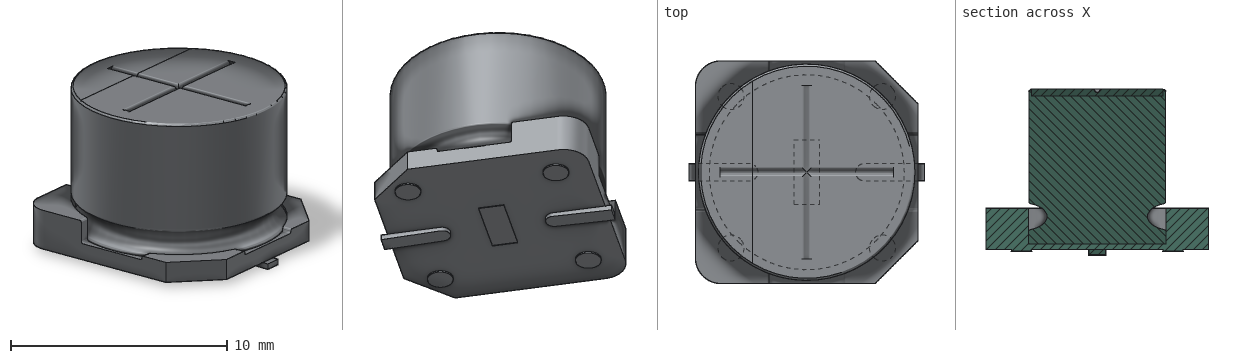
import cadquery as cq
import math

TOTAL_LENGTH = 10.9
TOTAL_HEIGHT = 7.7
BASE_BOTTOM = 0.27

BASE_WIDTH = 10.3
CORNER_RADIUS = 1.2
CORNER_CHAMFER = 2.0
HIGH_CORNER_TOP = 2.19
LOW_CORNER_TOP = 1.26
CORNER_TOPS = (LOW_CORNER_TOP, LOW_CORNER_TOP, HIGH_CORNER_TOP, HIGH_CORNER_TOP)
NOTCH_FLOOR = 1.07
NOTCH_HALF_WIDTH = 1.75
NOTCH_FILLET = (LOW_CORNER_TOP - NOTCH_FLOOR) / 2
CAN_SEAT = 0.55

FOOT_DIAMETER = 1.2
FOOT_HEIGHT = 0.08
FOOT_OFFSET = 3.5
STRIP_WIDTH = FOOT_DIAMETER
STRIP_LENGTH = 3.0
STRIP_HEIGHT = FOOT_HEIGHT / 2

CAN_DIAMETER = 10.0
CAN_RADIUS = CAN_DIAMETER / 2
TOP_FILLET = 0.1
BELT_HEIGHT = 1.8
BELT_RADIUS = 0.61
BELT_DEPTH = 0.49
BELT_FILLET = 0.12

CROSS_LENGTH = 0.8 * CAN_DIAMETER
CROSS_DEPTH = 0.15
CROSS_FLOOR_HALF_WIDTH = 0.071
CROSS_WALL_ANGLE = 60.0
CROSS_FILLET = 0.09

MARK_THICKNESS = 0.3
MARK_RADIUS = CAN_RADIUS - TOP_FILLET
MARK_EDGE = -CAN_RADIUS / 2

LEAD_WIDTH = 0.8
LEAD_LENGTH = 3.19
LEAD_TAPER = 0.08


def circle_point(center, radius, degrees):
    """Point at the given angle on a circle."""
    angle = math.radians(degrees)
    return (center[0] + radius * math.cos(angle), center[1] + radius * math.sin(angle))


def press_cross(body):
    """Press two crossing slots, with rounded lips and floors, into the top of the can."""
    floor = TOTAL_HEIGHT - CROSS_DEPTH
    wall_run = CROSS_DEPTH / math.tan(math.radians(CROSS_WALL_ANGLE))
    mouth_half_width = CROSS_FLOOR_HALF_WIDTH + wall_run
    slot = (
        cq.Workplane("YZ", origin=(-CROSS_LENGTH / 2, 0, 0))
        .moveTo(-CROSS_FLOOR_HALF_WIDTH, floor)
        .lineTo(CROSS_FLOOR_HALF_WIDTH, floor)
        .lineTo(mouth_half_width, TOTAL_HEIGHT)
        .lineTo(-mouth_half_width, TOTAL_HEIGHT)
        .close()
        .extrude(CROSS_LENGTH)
    )
    slots = slot.union(slot.rotate((0, 0, 0), (0, 0, 1), 90))
    body = body.cut(slots)
    for level in (floor, TOTAL_HEIGHT):
        at_level = cq.selectors.BoxSelector(
            (-CROSS_LENGTH, -CROSS_LENGTH, level - CROSS_FILLET / 2),
            (CROSS_LENGTH, CROSS_LENGTH, level + CROSS_FILLET / 2),
        )
        straight = body.edges(at_level).edges("|X or |Y")
        long_edges = straight.filter(lambda edge: edge.Length() > 2 * mouth_half_width)
        body = long_edges.fillet(CROSS_FILLET)
    return body


def mark_space():
    """Segment of a disc, flush with the top of the can, that the mark is made from."""
    blank = cq.Workplane("XY", origin=(0, 0, TOTAL_HEIGHT - MARK_THICKNESS))
    disc = blank.circle(MARK_RADIUS).extrude(MARK_THICKNESS)
    mark_side = blank.center(MARK_EDGE - CAN_RADIUS, 0).rect(CAN_DIAMETER, CAN_DIAMETER).extrude(MARK_THICKNESS)
    return disc.intersect(mark_side)


def turned_and_pressed_can():
    """Turned can with a filleted top, a round belt groove near its foot and the cross."""
    belt_center = (CAN_RADIUS - BELT_DEPTH + BELT_RADIUS, BELT_HEIGHT)
    fillet_x = CAN_RADIUS - BELT_FILLET
    center_run = belt_center[0] - fillet_x
    fillet_rise = math.sqrt((BELT_RADIUS + BELT_FILLET) ** 2 - center_run**2)
    lip_angle = math.degrees(math.atan2(fillet_rise, center_run))
    lower_fillet = (fillet_x, BELT_HEIGHT - fillet_rise)
    upper_fillet = (fillet_x, BELT_HEIGHT + fillet_rise)
    top_fillet = (CAN_RADIUS - TOP_FILLET, TOTAL_HEIGHT - TOP_FILLET)
    turned = (
        cq.Workplane("XZ")
        .moveTo(0, CAN_SEAT)
        .lineTo(CAN_RADIUS, CAN_SEAT)
        .lineTo(CAN_RADIUS, lower_fillet[1])
        .threePointArc(
            circle_point(lower_fillet, BELT_FILLET, lip_angle / 2),
            circle_point(lower_fillet, BELT_FILLET, lip_angle),
        )
        .threePointArc(
            circle_point(belt_center, BELT_RADIUS, 180),
            circle_point(belt_center, BELT_RADIUS, 180 - lip_angle),
        )
        .threePointArc(
            circle_point(upper_fillet, BELT_FILLET, -lip_angle / 2),
            (CAN_RADIUS, upper_fillet[1]),
        )
        .lineTo(CAN_RADIUS, top_fillet[1])
        .threePointArc(circle_point(top_fillet, TOP_FILLET, 45), (top_fillet[0], TOTAL_HEIGHT))
        .lineTo(0, TOTAL_HEIGHT)
        .close()
        .revolve(360, (0, 0, 0), (0, 1, 0))
    )
    return press_cross(turned)


def half_notch(corner_top):
    """Half of the notch in the -Y side of the base, on +X, beside a corner of the given height."""
    r = NOTCH_FILLET
    wall = NOTCH_HALF_WIDTH
    floor_center = (wall - r, NOTCH_FLOOR + r)
    lip_center = (wall + r, corner_top - r)
    profile = (
        cq.Workplane("XZ")
        .moveTo(0, NOTCH_FLOOR)
        .lineTo(wall - r, NOTCH_FLOOR)
        .threePointArc(circle_point(floor_center, r, -45), (wall, NOTCH_FLOOR + r))
    )
    if corner_top > LOW_CORNER_TOP:
        profile = profile.lineTo(wall, corner_top - r)
    profile = (
        profile.threePointArc(circle_point(lip_center, r, 135), (wall + r, corner_top))
        .lineTo(wall + r, TOTAL_HEIGHT)
        .lineTo(0, TOTAL_HEIGHT)
        .close()
    )
    return profile.extrude(BASE_WIDTH)


def make_base():
    """Square base with two low corners, a round pocket, four notches and pads underneath."""
    half = BASE_WIDTH / 2
    base = cq.Workplane("XY", origin=(0, 0, BASE_BOTTOM)).rect(BASE_WIDTH, BASE_WIDTH)
    base = base.extrude(HIGH_CORNER_TOP - BASE_BOTTOM)
    base = base.edges("|Z and <X").fillet(CORNER_RADIUS)
    base = base.edges("|Z and >X").chamfer(CORNER_CHAMFER)

    low_side = cq.Workplane("XY", origin=(half, 0, LOW_CORNER_TOP))
    base = base.cut(low_side.box(BASE_WIDTH, BASE_WIDTH, TOTAL_HEIGHT, centered=(True, True, False)))

    base = base.cut(cq.Workplane("XY", origin=(0, 0, CAN_SEAT)).circle(CAN_RADIUS).extrude(TOTAL_HEIGHT))

    for side in range(4):
        turn = 90 * side
        ahead = half_notch(CORNER_TOPS[side])
        behind = half_notch(CORNER_TOPS[side - 1]).mirror("YZ")
        for half_cut in (ahead, behind):
            base = base.cut(half_cut.rotate((0, 0, 0), (0, 0, 1), turn))

    feet = (
        cq.Workplane("XY", origin=(0, 0, BASE_BOTTOM))
        .rect(2 * FOOT_OFFSET, 2 * FOOT_OFFSET, forConstruction=True)
        .vertices()
        .circle(FOOT_DIAMETER / 2)
        .extrude(-FOOT_HEIGHT)
    )
    strip = cq.Workplane("XY", origin=(0, 0, BASE_BOTTOM)).rect(STRIP_WIDTH, STRIP_LENGTH).extrude(-STRIP_HEIGHT)
    return base.union(feet).union(strip)


def make_lead(turn):
    """Lead on the +X side, thinning towards its round inner end, turned about Z."""
    tip = TOTAL_LENGTH / 2
    inner = tip - LEAD_LENGTH
    half_width = LEAD_WIDTH / 2
    outline = (
        cq.Workplane("XY")
        .moveTo(tip, -half_width)
        .lineTo(tip, half_width)
        .lineTo(inner + half_width, half_width)
        .threePointArc((inner, 0), (inner + half_width, -half_width))
        .close()
        .extrude(BASE_BOTTOM)
    )
    taper = (
        cq.Workplane("XZ")
        .polyline([(tip, 0), (inner, LEAD_TAPER), (inner, 0)])
        .close()
        .extrude(LEAD_WIDTH, both=True)
    )
    return outline.cut(taper).rotate((0, 0, 0), (0, 0, 1), turn)


base = make_base()
pressed_can = turned_and_pressed_can()
can = pressed_can.cut(mark_space())
mark = pressed_can.intersect(mark_space())
leads = [make_lead(turn) for turn in (0, 180)]

result = cq.Compound.makeCompound([base.val(), can.val(), mark.val(), *[lead.val() for lead in leads]])